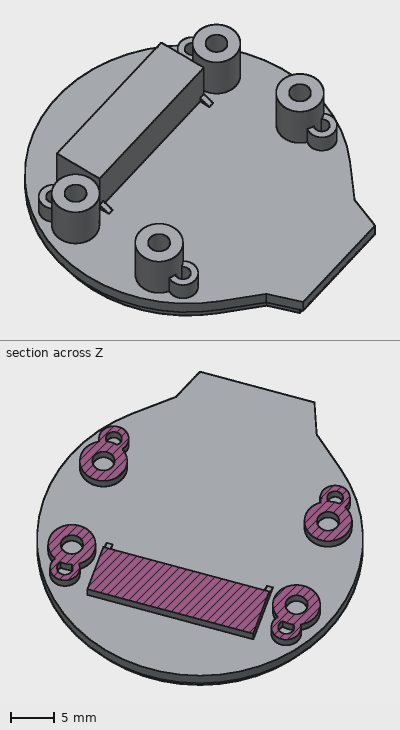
import cadquery as cq
import math

length = 40.45
disc_radius = 18.75
tongue_end_x = length - disc_radius
tongue_end_half_width = 6.9
shoulder_x = 17.6
shoulder_y = 8.5
step_inset = 1.0
lower_thickness = 2.0
upper_thickness = 1.6
plate_top = lower_thickness + upper_thickness

post_x = 6.0
post_y = 13.55
post_radius = 2.75
post_hole_radius = 1.25
post_height = 5.9
boss_x = 9.25
boss_y = 13.35
boss_radius = 1.75
boss_hole_radius = 0.9
boss_height = 2.5

block_min_x = -11.3
block_depth = 6.1
block_width = 20.05
block_height = 5.62
rib_length = 1.35
rib_thickness = 0.73
rib_height = 0.65


def base_outline():
    """Upper outline; the flanks run tangent from the disc to the shoulders."""
    shoulder_angle = math.atan2(shoulder_y, shoulder_x)
    tangent_offset = math.acos(disc_radius / math.hypot(shoulder_x, shoulder_y))
    tangent_angle = shoulder_angle + tangent_offset
    tangent_x = disc_radius * math.cos(tangent_angle)
    tangent_y = disc_radius * math.sin(tangent_angle)
    return (
        cq.Workplane("XY")
        .moveTo(tangent_x, tangent_y)
        .threePointArc((-disc_radius, 0), (tangent_x, -tangent_y))
        .lineTo(shoulder_x, -shoulder_y)
        .lineTo(tongue_end_x, -tongue_end_half_width)
        .lineTo(tongue_end_x, tongue_end_half_width)
        .lineTo(shoulder_x, shoulder_y)
        .close()
    )


def base():
    lower = base_outline().offset2D(-step_inset, "intersection").extrude(lower_thickness)
    upper = base_outline().extrude(upper_thickness).translate((0, 0, lower_thickness))
    return lower.union(upper)


def standing_cylinder(x, y, radius, height):
    return cq.Workplane("XY", origin=(x, y, plate_top)).circle(radius).extrude(height)


def mount(side_x, side_y):
    """Post and boss for one quadrant; both holes stop at the plate."""
    post_place = (side_x * post_x, side_y * post_y)
    boss_place = (side_x * boss_x, side_y * boss_y)
    boss = standing_cylinder(*boss_place, boss_radius, boss_height)
    boss_hole = standing_cylinder(*boss_place, boss_hole_radius, boss_height)
    post = standing_cylinder(*post_place, post_radius, post_height)
    post_hole = standing_cylinder(*post_place, post_hole_radius, post_height)
    return boss.cut(boss_hole).union(post).cut(post_hole)


def block():
    return (
        cq.Workplane("XY", origin=(block_min_x, 0, plate_top))
        .box(block_depth, block_width, block_height, centered=(False, True, False))
    )


def rib(side_y):
    center_y = side_y * (block_width - rib_thickness) / 2
    return (
        cq.Workplane("XZ", origin=(block_min_x + block_depth, center_y, plate_top))
        .lineTo(rib_length, 0)
        .lineTo(0, rib_height)
        .close()
        .extrude(rib_thickness / 2, both=True)
    )


result = base().union(block())
for side_y in (-1, 1):
    result = result.union(rib(side_y))
    for side_x in (-1, 1):
        result = result.union(mount(side_x, side_y))